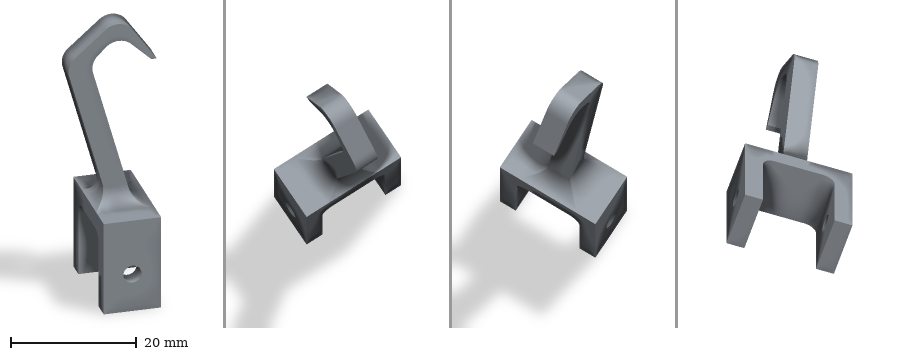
import cadquery as cq
import math

base_width = 18.0
base_depth = 9.5
base_height = 15.95
wall = 3.0
slot_corner_radius = 2.0
left_leg_shortening = 0.15
pin_diameter = 3.0
pin_height = 6.5

hook_width = 4.0
shank_depth = 4.0
lean_angle = math.radians(15.6)
bend_radius = 3.0
root_radius = 3.0

back_bend_height = 41.1
throat_bend_height = 41.1
crown_outer = (0.05, 48.95)
crown_inner = (-0.4, 45.75)
tip_y = 6.0
tip_height = 40.65
tip_flat = 0.9


def shank_point(side, height):
    """Point on the shank's front (-1) or rear (+1) face at the given height."""
    y = side * shank_depth / 2 - math.tan(lean_angle) * (height - base_height)
    return (y, height)


def make_hook():
    corners = [
        shank_point(-1, base_height - wall / 2),
        shank_point(-1, back_bend_height),
        crown_outer,
        (tip_y, tip_height),
        (tip_y - tip_flat, tip_height),
        crown_inner,
        shank_point(1, throat_bend_height),
        shank_point(1, base_height - wall / 2),
    ]
    hook = cq.Workplane("YZ").polyline(corners).close().extrude(hook_width / 2, both=True)
    bends = [corners[1], crown_outer, crown_inner, corners[6]]
    for y, z in bends:
        bend_edge = cq.selectors.NearestToPointSelector((0, y, z))
        hook = hook.edges("|X").edges(bend_edge).fillet(bend_radius)
    return hook


def box_on_ground(width, depth, height):
    return cq.Workplane("XY").box(width, depth, height, centered=(True, True, False))


def arc_middle(center, start, end):
    """Middle of the short arc from start to end about the root blend's center."""
    dx = start[0] + end[0] - 2 * center[0]
    dy = start[1] + end[1] - 2 * center[1]
    reach = root_radius / math.hypot(dx, dy)
    return (center[0] + dx * reach, center[1] + dy * reach)


def make_root_blend():
    """Concave flare around the shank: a fore-aft profile crossed with a sideways one."""
    ledge = (base_depth - shank_depth) / 2
    ledge_offset = ledge * math.cos(lean_angle)
    rise = ledge * math.sin(lean_angle) + math.sqrt(root_radius**2 - (root_radius - ledge_offset) ** 2)
    front_height = base_height + rise * math.cos(lean_angle)
    front_top = shank_point(-1, front_height)
    front_foot = (-base_depth / 2, base_height)
    front_center = (
        front_top[0] - root_radius * math.cos(lean_angle),
        front_top[1] - root_radius * math.sin(lean_angle),
    )

    tangent_length = root_radius * math.tan((math.pi / 2 - lean_angle) / 2)
    rear_top = shank_point(1, base_height + tangent_length * math.cos(lean_angle))
    rear_foot = (shank_depth / 2 + tangent_length, base_height)
    rear_center = (rear_foot[0], base_height + root_radius)

    embedded_height = base_height - wall / 2
    fore_aft = (
        cq.Workplane("YZ")
        .moveTo(front_foot[0], embedded_height)
        .lineTo(*front_foot)
        .threePointArc(arc_middle(front_center, front_foot, front_top), front_top)
        .lineTo(*shank_point(1, front_height))
        .lineTo(*rear_top)
        .threePointArc(arc_middle(rear_center, rear_top, rear_foot), rear_foot)
        .lineTo(rear_foot[0], embedded_height)
        .close()
        .extrude(base_width / 2, both=True)
    )

    side = hook_width / 2
    foot = side + root_radius
    arc_height = base_height + root_radius
    left_middle = arc_middle((-foot, arc_height), (-foot, base_height), (-side, arc_height))
    right_middle = arc_middle((foot, arc_height), (side, arc_height), (foot, base_height))
    sideways = (
        cq.Workplane("XZ")
        .moveTo(-foot, embedded_height)
        .lineTo(-foot, base_height)
        .threePointArc(left_middle, (-side, arc_height))
        .lineTo(-side, front_height)
        .lineTo(side, front_height)
        .lineTo(side, arc_height)
        .threePointArc(right_middle, (foot, base_height))
        .lineTo(foot, embedded_height)
        .close()
        .extrude(base_depth, both=True)
    )
    return fore_aft.intersect(sideways)


def cut_fork(body):
    slot = box_on_ground(base_width - 2 * wall, base_depth, base_height - wall)
    slot = slot.edges("|Y and >Z").fillet(slot_corner_radius)
    pin_hole = (
        cq.Workplane("YZ")
        .center(0, pin_height)
        .circle(pin_diameter / 2)
        .extrude(base_width, both=True)
    )
    left_leg_end = box_on_ground(wall, base_depth, left_leg_shortening)
    left_leg_end = left_leg_end.translate(((wall - base_width) / 2, 0, 0))
    return body.cut(slot).cut(pin_hole).cut(left_leg_end)


base = box_on_ground(base_width, base_depth, base_height)
result = cut_fork(base.union(make_root_blend()).union(make_hook()))